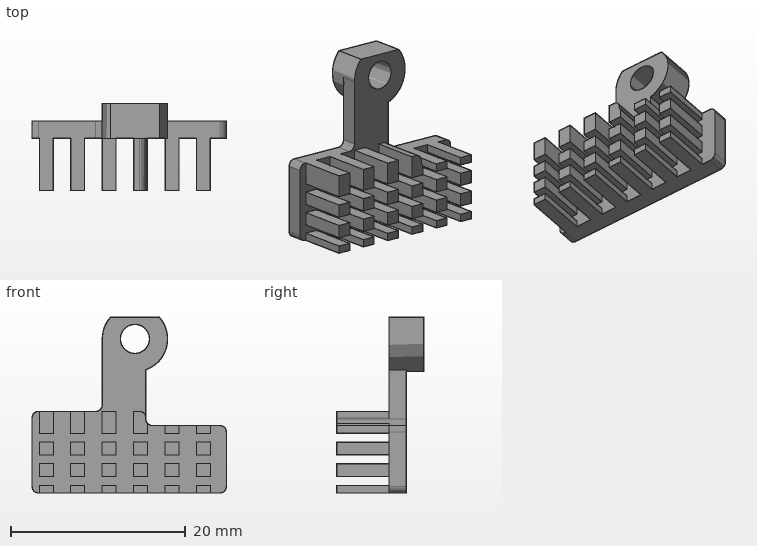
import cadquery as cq

base_length = 22.28
plate_thickness = 2.0
high_step_height = 9.36
low_step_height = 7.74
corner_radius = 0.75

pin_columns = 6
pin_pitch_x = 3.6
pin_width = 1.6
first_pin_x = 0.84
pin_length = 6.0

gap_count = 3
gap_pitch_z = 2.48
gap_height = 1.0
first_gap_z = 0.88

stem_width = 5.0
stem_left_x = first_pin_x + 2 * pin_pitch_x
stem_right_x = stem_left_x + stem_width
boss_radius = 3.75
boss_length = 4.0
hole_diameter = 3.3
total_height = 20.15
flat_above_axis = 2.5
boss_x = stem_left_x + boss_radius
boss_z = total_height - flat_above_axis


def block(x_start, x_end, y_start, y_end, z_start, z_end):
    """Box given by its limits along each axis."""
    size = (x_end - x_start, y_end - y_start, z_end - z_start)
    return cq.Workplane("XY").box(*size, centered=False).translate((x_start, y_start, z_start))


def stepped_base(y_start, y_end):
    """Two-step outline with every corner rounded, between two Y planes."""
    high_side = block(0, stem_right_x, y_start, y_end, 0, high_step_height)
    low_side = block(0, base_length, y_start, y_end, 0, low_step_height)
    return high_side.union(low_side).clean().edges("|Y").fillet(corner_radius)


def base_and_stem():
    """Base plate with the stem, whose left side is blended into the high step."""
    stem = block(stem_left_x, stem_right_x, 0, plate_thickness, 0, boss_z)
    plate = stepped_base(0, plate_thickness).union(stem).clean()
    left_root = cq.selectors.NearestToPointSelector((stem_left_x, plate_thickness / 2, high_step_height))
    return plate.edges(left_root).fillet(corner_radius)


def pins():
    """Pin grid: columns trimmed to the base outline, then split by the row gaps."""
    columns = cq.Workplane("XY")
    for column in range(pin_columns):
        x = first_pin_x + column * pin_pitch_x
        columns = columns.union(block(x, x + pin_width, -pin_length, 0, 0, high_step_height))
    grid = columns.intersect(stepped_base(-pin_length, 0))
    for gap in range(gap_count):
        z = first_gap_z + gap * gap_pitch_z
        grid = grid.cut(block(0, base_length, -pin_length, 0, z, z + gap_height))
    return grid


def cylinder_along_y(radius):
    """Cylinder on the boss axis, spanning the boss length."""
    return cq.Workplane("XZ", origin=(boss_x, 0, boss_z)).circle(radius).extrude(-boss_length)


def boss():
    """Round boss cut flat on top."""
    above_flat = block(0, base_length, 0, boss_length, total_height, boss_z + boss_radius)
    return cylinder_along_y(boss_radius).cut(above_flat)


result = base_and_stem().union(boss()).cut(cylinder_along_y(hole_diameter / 2)).union(pins())